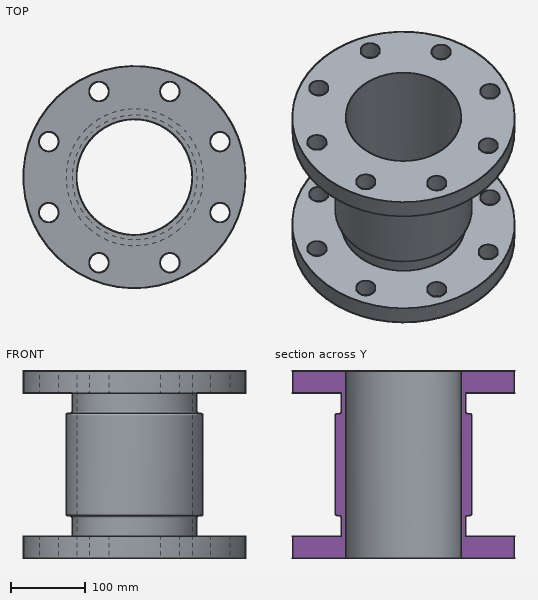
import cadquery as cq

length = 253.0

flange_diameter = 300.0
flange_thickness = 30.0

bolt_circle_diameter = 250.0
bolt_hole_diameter = 26.0
bolt_hole_count = 8
bolt_pitch_angle = 360.0 / bolt_hole_count

pipe_diameter = 168.3
pipe_wall = 6.3
bore_diameter = pipe_diameter - 2 * pipe_wall
sleeve_diameter = 184.8
sleeve_length = 138.0
sleeve_edge_radius = 3.0
sleeve_root_radius = 3.0


def cylinder(diameter, height):
    """Cylinder on the Z axis, symmetric about the XY plane."""
    return cq.Workplane("XY").workplane(offset=-height / 2).circle(diameter / 2).extrude(height)


def flange(base_z):
    """Plain flange disc whose lower face lies at base_z."""
    disc = cq.Workplane("XY").workplane(offset=base_z)
    return disc.circle(flange_diameter / 2).extrude(flange_thickness)


def sleeve():
    """Revolved sleeve with rounded outer edges and concave roots running into the pipe."""
    bore_r = bore_diameter / 2
    pipe_r = pipe_diameter / 2
    outer_r = sleeve_diameter / 2
    edge = sleeve_edge_radius
    root = sleeve_root_radius
    end_z = sleeve_length / 2
    return (
        cq.Workplane("XZ")
        .moveTo(bore_r, -end_z - root)
        .lineTo(pipe_r, -end_z - root)
        .radiusArc((pipe_r + root, -end_z), root)
        .lineTo(outer_r - edge, -end_z)
        .radiusArc((outer_r, -end_z + edge), -edge)
        .lineTo(outer_r, end_z - edge)
        .radiusArc((outer_r - edge, end_z), -edge)
        .lineTo(pipe_r + root, end_z)
        .radiusArc((pipe_r, end_z + root), root)
        .lineTo(bore_r, end_z + root)
        .close()
        .revolve(360, (0, 0), (0, 1))
    )


def bolt_holes():
    """Cutters for the bolt holes, long enough to pass through both flanges."""
    return (
        cq.Workplane("XY")
        .workplane(offset=-length / 2)
        .polarArray(bolt_circle_diameter / 2, bolt_pitch_angle / 2, 360, bolt_hole_count)
        .circle(bolt_hole_diameter / 2)
        .extrude(length)
    )


body = cylinder(pipe_diameter, length).union(sleeve())
for base_z in (-length / 2, length / 2 - flange_thickness):
    body = body.union(flange(base_z))

result = body.cut(bolt_holes()).cut(cylinder(bore_diameter, length))